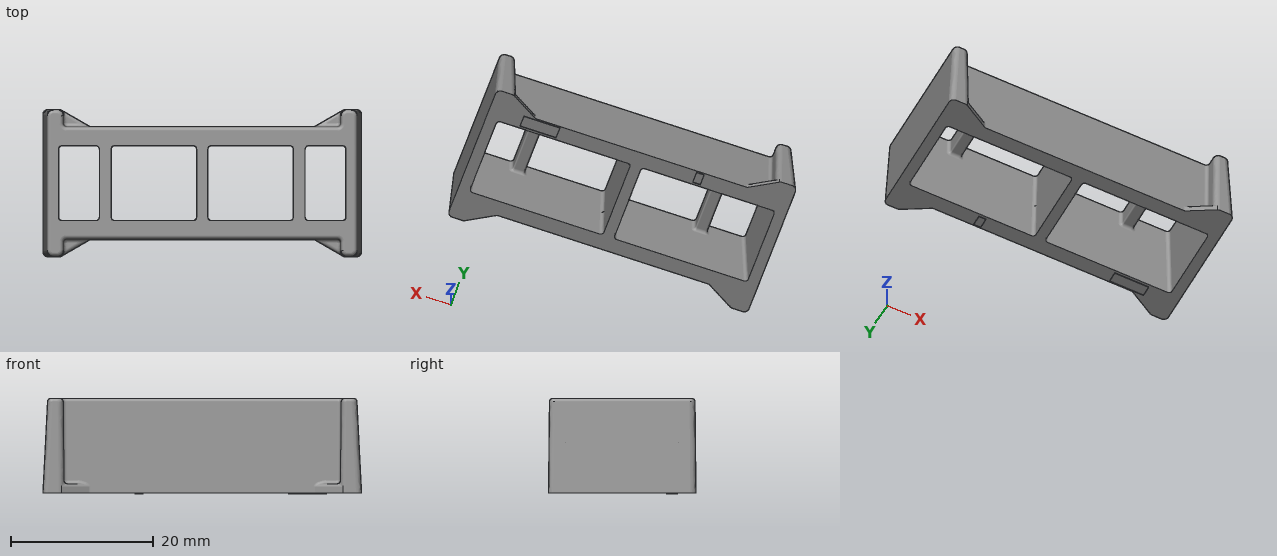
import cadquery as cq
import math

length = 44.75
width = 20.72
pad_height = 0.15
height = 13.45 - pad_height
outer_draft = 0.15
end_draft = 0.65

plate_thickness = 3.0
core_width = 15.95
plate_corner_radius = 0.75
small_radius = 0.5

cavity_length = 40.3
cavity_width = 10.47
cavity_draft = 0.6
center_web = 1.6
short_web = 1.7
short_web_center = 13.6
short_web_depth = 2.78
web_edge_radius = 0.22

gusset_height = 1.3
gusset_angle = 30.0

pads = [(-8.85, 1.1), (14.75, 5.35)]
pad_width = 1.6
pad_center_y = 7.0


def drafted_block(x_base, y_base, x_top, y_top):
    """Block from the base to the top; each argument is a (low, high) range."""
    def outline(x_range, y_range, z):
        (x0, x1), (y0, y1) = x_range, y_range
        corners = [(x0, y0, z), (x1, y0, z), (x1, y1, z), (x0, y1, z)]
        return cq.Wire.makePolygon([cq.Vector(*p) for p in corners], close=True)
    loft = cq.Solid.makeLoft([outline(x_base, y_base, 0), outline(x_top, y_top, height)], True)
    return cq.Workplane(obj=loft)


def span(size):
    return (-size / 2, size / 2)


def fillet_where(body, radius, test):
    """Round every edge whose bounding box passes the test."""
    edges = [e for e in body.edges().vals() if test(e.BoundingBox())]
    return body.newObject(edges).fillet(radius)


def is_upright(box):
    return box.zlen > height / 2


def make_shell():
    inner_base = length / 2 - plate_thickness
    plate = drafted_block(
        (inner_base, length / 2),
        span(width),
        (inner_base + outer_draft, length / 2 - end_draft),
        span(width - 2 * outer_draft),
    )
    core_x = span(2 * inner_base + plate_thickness)
    core = drafted_block(core_x, span(core_width), core_x, span(core_width - 2 * outer_draft))
    shell = core.union(plate).union(plate.mirror("YZ"))

    def off_axis(box):
        return abs(box.ymin + box.ymax) / 2

    core_limit = core_width / 2 + small_radius
    shell = fillet_where(
        shell, plate_corner_radius,
        lambda b: is_upright(b) and off_axis(b) > core_limit,
    )
    return fillet_where(
        shell, small_radius,
        lambda b: is_upright(b) and off_axis(b) < core_limit and b.xlen < 0.45,
    )


def make_gusset():
    """Foot in the +X +Y corner, its sloping face tangent to the rounded plate corner."""
    angle = math.radians(gusset_angle)
    corner_x = length / 2 - plate_thickness + plate_corner_radius
    corner_y = width / 2 - plate_corner_radius
    tangent_x = corner_x - plate_corner_radius * math.sin(angle)
    tangent_y = corner_y + plate_corner_radius * math.cos(angle)
    root_y = core_width / 2 - 3 * small_radius
    outline = [
        (tangent_x - (tangent_y - root_y) / math.tan(angle), root_y),
        (corner_x, root_y),
        (corner_x, corner_y),
        (tangent_x, tangent_y),
    ]
    foot = cq.Workplane("XY").polyline(outline).close().extrude(gusset_height)
    return fillet_where(
        foot, small_radius,
        lambda b: b.zmin > gusset_height - 0.005 and b.xlen > 2 * plate_corner_radius and b.ylen > 0.45,
    )


def is_gusset_root(box):
    """Edge where a gusset's flat top meets the shell, not its sloping border."""
    is_level = abs(box.zmin - gusset_height) < 0.005 and box.zlen < 0.005
    return is_level and min(box.xlen, box.ylen) < plate_corner_radius


def make_body():
    """Solid body: one quarter with its blended gusset, mirrored, then rounded along the top."""
    corner_space = cq.Workplane("XY").box(length, width, height, centered=False)
    quarter = make_shell().intersect(corner_space).union(make_gusset())
    quarter = fillet_where(quarter, small_radius, is_gusset_root)
    half = quarter.union(quarter.mirror("XZ"))
    body = half.union(half.mirror("YZ"))
    return fillet_where(body, small_radius, lambda b: b.zmin > height - 0.005)


def make_cavity():
    cavity = drafted_block(
        span(cavity_length + 2 * cavity_draft),
        span(cavity_width + 2 * cavity_draft),
        span(cavity_length),
        span(cavity_width),
    )
    cavity = cavity.cut(cq.Workplane("XY").box(center_web, width, 3 * height))
    for side in (-1, 1):
        web = cq.Workplane("XY").box(short_web, width, 2 * short_web_depth)
        web = web.edges("|Y and <Z").fillet(web_edge_radius)
        cavity = cavity.cut(web.translate((side * short_web_center, 0, height)))
    return fillet_where(cavity, small_radius, lambda b: b.zlen > short_web_depth / 2)


result = make_body().cut(make_cavity())
for pad_x, pad_length in pads:
    pad = cq.Workplane("XY").box(pad_length, pad_width, 2 * pad_height)
    result = result.union(pad.translate((pad_x, pad_center_y, 0)))